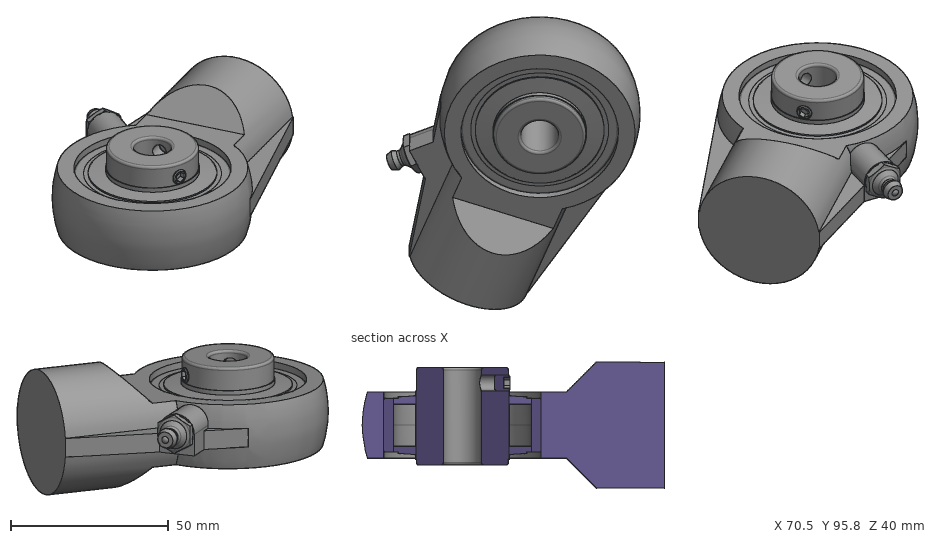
import cadquery as cq
import math


overall_length = 95.8

eye_radius = 31.8
eye_rim_radius = 30.2
eye_height = 21.1
seat_diameter = 49.8

shank_diameter = 40.0
shank_end_y = overall_length - eye_radius
shank_start_y = seat_diameter / 2
flat_end_y = 33.0
web_thickness = 6.1

boss_diameter = 12.0
boss_end = 42.5
boss_start = 27.8
boss_z = 4.0
boss_direction = cq.Vector(-1, 1, 0)

ring_width = 17.1
ring_edge_fillet = 0.5
seal_diameter = 43.7
seal_step_diameter = 40.8
seal_thickness = 1.9
seal_step_height = 0.5
seal_inner_height = 0.9
race_diameter = 29.7
race_width = 21.65
collar_diameter = 29.2
collar_top_z = 18.3
collar_bottom_z = -12.6
bore_diameter = 12.0
collar_edge_fillet = 0.9

screw_diameter = 4.9
screw_z = 13.4
screw_tip_radius = 15.1
screw_length = 5.0
screw_chamfer = 0.4
socket_flats = 3.0
socket_depth = 2.0
screw_angles = [90, -30]

nut_flats = 11.0
nut_thickness = 2.5
nut_chamfer_height = 0.3
flange_radius = 4.6
flange_end = 2.9
cone_top_radius = 3.2
cone_end = 4.3
neck_radius = 2.6
neck_start = 5.2
neck_end = 6.0
head_radius = 3.3
head_widest = 7.6
tip_radius = 2.6
tip_end = 9.6
ball_edge_radius = 1.15
ball_height = 0.6


def hexagon_across_corners(flats):
    return flats / math.cos(math.pi / 6)


def annulus(outer_diameter, inner_diameter, width):
    """Flat ring around Z, centred on the XY plane."""
    ring = cq.Workplane("XY").circle(outer_diameter / 2).circle(inner_diameter / 2)
    return ring.extrude(width / 2, both=True)


def boss_plane(distance):
    """Plane square to the grease boss axis; its local Y is the part's Z."""
    along = distance * math.sqrt(0.5)
    return cq.Plane(origin=(-along, along, boss_z), xDir=(-1, -1, 0), normal=boss_direction)



def make_eye():
    half = eye_height / 2
    return (
        cq.Workplane("XZ")
        .moveTo(0, -half)
        .lineTo(eye_rim_radius, -half)
        .threePointArc((eye_radius, 0), (eye_rim_radius, half))
        .lineTo(0, half)
        .close()
        .revolve(360, (0, 0, 0), (0, 1, 0))
    )


def make_shank():
    """Round bar, trimmed to a side outline with 45-degree shoulders."""
    radius = shank_diameter / 2
    half = eye_height / 2
    length = shank_end_y - shank_start_y
    bar = cq.Workplane("XZ", origin=(0, shank_end_y, 0)).circle(radius).extrude(length)
    shoulder_y = flat_end_y + radius - half
    side = (
        cq.Workplane("YZ")
        .polyline([
            (shank_start_y, -half),
            (flat_end_y, -half),
            (shoulder_y, -radius),
            (shank_end_y, -radius),
            (shank_end_y, radius),
            (shoulder_y, radius),
            (flat_end_y, half),
            (shank_start_y, half),
        ])
        .close()
        .extrude(radius, both=True)
    )
    return bar.intersect(side)


def make_web():
    """Plate whose sides run from the shank corners tangent to the eye."""
    corner_x = shank_diameter / 2
    corner_distance = math.hypot(corner_x, shank_end_y)
    tangent_angle = math.atan2(shank_end_y, corner_x) - math.acos(eye_radius / corner_distance)
    tangent_x = eye_radius * math.cos(tangent_angle)
    tangent_y = eye_radius * math.sin(tangent_angle)
    return (
        cq.Workplane("XY")
        .polyline([
            (-corner_x, shank_end_y),
            (-tangent_x, tangent_y),
            (tangent_x, tangent_y),
            (corner_x, shank_end_y),
        ])
        .close()
        .extrude(web_thickness / 2, both=True)
    )


def make_grease_boss():
    """Round boss with a block of the same width reaching down to the web underside."""
    length = boss_end - boss_start
    drop = boss_z + web_thickness / 2
    base = cq.Workplane(boss_plane(boss_start))
    cylinder = base.circle(boss_diameter / 2).extrude(length)
    block = base.center(0, -drop / 2).rect(boss_diameter, drop).extrude(length)
    return cylinder.union(block)


def make_housing():
    body = make_eye().union(make_shank()).union(make_web()).union(make_grease_boss())
    seat = cq.Workplane("XY").circle(seat_diameter / 2).extrude(eye_height, both=True)
    return body.cut(seat)



def make_outer_ring():
    ring = annulus(seat_diameter, seal_diameter, ring_width)
    return ring.faces("|Z").edges(cq.selectors.RadiusNthSelector(-1)).fillet(ring_edge_fillet)


def make_seal():
    """Upper seal: a flush rim and a raised middle that rises gently to the inner ring."""
    top = ring_width / 2
    bottom = top - seal_thickness
    return (
        cq.Workplane("XZ")
        .polyline([
            (race_diameter / 2, bottom),
            (seal_diameter / 2, bottom),
            (seal_diameter / 2, top),
            (seal_step_diameter / 2, top),
            (seal_step_diameter / 2, top + seal_step_height),
            (race_diameter / 2, top + seal_inner_height),
        ])
        .close()
        .revolve(360, (0, 0, 0), (0, 1, 0))
    )


def screw_plane(angle, distance):
    """Plane facing outward from the bearing axis at the set screw height; local Y is Z."""
    a = math.radians(angle)
    outward = cq.Vector(math.cos(a), math.sin(a), 0)
    sideways = cq.Vector(-math.sin(a), math.cos(a), 0)
    origin = outward * distance + cq.Vector(0, 0, screw_z)
    return cq.Plane(origin=origin, xDir=sideways, normal=outward)


def make_inner_ring():
    """Long collar with a slightly wider race in the middle and two radial screw holes."""
    collar = (
        cq.Workplane("XY", origin=(0, 0, collar_bottom_z))
        .circle(collar_diameter / 2)
        .circle(bore_diameter / 2)
        .extrude(collar_top_z - collar_bottom_z)
        .faces("|Z")
        .edges()
        .fillet(collar_edge_fillet)
    )
    ring = collar.union(annulus(race_diameter, bore_diameter, race_width))
    for angle in screw_angles:
        hole = cq.Workplane(screw_plane(angle, 0)).circle(screw_diameter / 2).extrude(race_diameter)
        ring = ring.cut(hole)
    return ring


def make_set_screw(angle):
    base = cq.Workplane(screw_plane(angle, screw_tip_radius - screw_length))
    screw = base.circle(screw_diameter / 2).extrude(screw_length).edges().chamfer(screw_chamfer)
    socket = (
        cq.Workplane(screw_plane(angle, screw_tip_radius))
        .transformed(rotate=(0, 0, 90))
        .polygon(6, hexagon_across_corners(socket_flats))
        .extrude(-socket_depth)
    )
    return screw.cut(socket)



def make_nut():
    """Hexagon with one corner up, its corners chamfered at both ends."""
    corner_radius = hexagon_across_corners(nut_flats) / 2
    flat_radius = nut_flats / 2
    hexagon = (
        cq.Workplane("XY")
        .transformed(rotate=(0, 0, 90))
        .polygon(6, 2 * corner_radius)
        .extrude(nut_thickness)
    )
    chamfered_disc = (
        cq.Workplane("XZ")
        .polyline([
            (0, 0),
            (flat_radius, 0),
            (corner_radius, nut_chamfer_height),
            (corner_radius, nut_thickness - nut_chamfer_height),
            (flat_radius, nut_thickness),
            (0, nut_thickness),
        ])
        .close()
        .revolve(360, (0, 0, 0), (0, 1, 0))
    )
    return hexagon.intersect(chamfered_disc)


def make_nipple_head():
    """Turned core of the nut, sloped flange, cone, neck, double-tapered head and tip ball."""
    ball_end = tip_end + ball_height
    ball_radius = (ball_edge_radius**2 + ball_height**2) / (2 * ball_height)
    ball_half_angle = math.asin(ball_edge_radius / ball_radius) / 2
    ball_middle = (
        ball_radius * math.sin(ball_half_angle),
        ball_end - ball_radius * (1 - math.cos(ball_half_angle)),
    )
    return (
        cq.Workplane("XZ")
        .moveTo(0, 0)
        .lineTo(nut_flats / 2, 0)
        .lineTo(nut_flats / 2, nut_thickness)
        .lineTo(flange_radius, flange_end)
        .lineTo(cone_top_radius, cone_end)
        .lineTo(neck_radius, neck_start)
        .lineTo(neck_radius, neck_end)
        .lineTo(head_radius, head_widest)
        .lineTo(tip_radius, tip_end)
        .lineTo(ball_edge_radius, tip_end)
        .threePointArc(ball_middle, (0, ball_end))
        .close()
        .revolve(360, (0, 0, 0), (0, 1, 0))
    )


def make_grease_nipple():
    nipple = make_nut().union(make_nipple_head()).val()
    return nipple.moved(cq.Location(boss_plane(boss_end)))


housing = make_housing()
outer_ring = make_outer_ring()
inner_ring = make_inner_ring()
upper_seal = make_seal()
lower_seal = upper_seal.mirror("XY")
set_screws = [make_set_screw(angle).val() for angle in screw_angles]
grease_nipple = make_grease_nipple()

result = cq.Compound.makeCompound([
    housing.val(),
    outer_ring.val(),
    inner_ring.val(),
    upper_seal.val(),
    lower_seal.val(),
    *set_screws,
    grease_nipple,
])